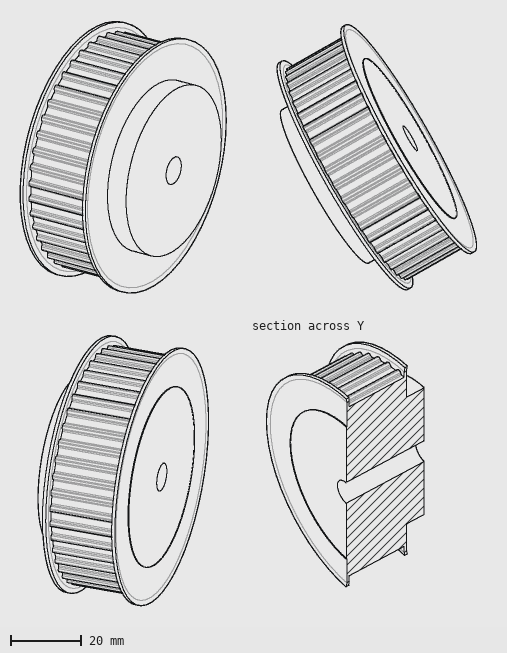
import cadquery as cq
import math

tooth_count = 44
tip_radius = 34.4
groove_depth = 1.1
groove_floor_width = 2.6
flank_angle = 25.0
tip_fillet = 0.7
root_fillet = 0.4

flange_span = 22.0
flange_radius = 37.0
flange_bend_radius = 35.5
flange_thickness = 1.0
flange_dish = 0.25

core_radius = 26.0
total_length = 28.0
hub_radius = 25.0
bore_radius = 4.0

root_radius = tip_radius - groove_depth
rim_start = flange_dish + flange_thickness
rim_end = flange_span - rim_start


def cylinder(radius, start, end):
    """Solid cylinder about the X axis between two X positions."""
    return cq.Workplane("YZ").workplane(offset=start).circle(radius).extrude(end - start)


def polar(radius, angle):
    """Point in the YZ plane, with the angle in radians measured from +Y."""
    return (radius * math.cos(angle), radius * math.sin(angle))


def axial_edges(body, radius):
    """Straight edges parallel to X that lie at the given distance from the axis."""
    return [
        edge
        for edge in body.edges("|X").vals()
        if math.isclose(math.hypot(edge.Center().y, edge.Center().z), radius, abs_tol=1e-3)
    ]


def make_toothed_rim():
    """Rounded teeth between the flanges, with one groove centred on +Y."""
    pitch_angle = 2 * math.pi / tooth_count
    floor_half_width = groove_floor_width / 2
    mouth_half_width = floor_half_width + groove_depth * math.tan(math.radians(flank_angle))
    floor_half_angle = math.asin(floor_half_width / root_radius)
    mouth_half_angle = math.asin(mouth_half_width / tip_radius)

    profile = cq.Workplane("YZ").workplane(offset=rim_start).moveTo(*polar(tip_radius, -mouth_half_angle))
    for index in range(tooth_count):
        groove = index * pitch_angle
        next_tooth = groove + pitch_angle / 2
        next_groove = groove + pitch_angle
        profile = (
            profile
            .lineTo(*polar(root_radius, groove - floor_half_angle))
            .threePointArc(polar(root_radius, groove), polar(root_radius, groove + floor_half_angle))
            .lineTo(*polar(tip_radius, groove + mouth_half_angle))
            .threePointArc(polar(tip_radius, next_tooth), polar(tip_radius, next_groove - mouth_half_angle))
        )
    rim = profile.close().extrude(rim_end - rim_start)
    rim = rim.newObject(axial_edges(rim, root_radius)).fillet(root_fillet)
    return rim.newObject(axial_edges(rim, tip_radius)).fillet(tip_fillet)


def make_left_flange():
    """Dished flange revolved about X, with its rim at X = 0 and its flat next to the teeth."""
    return (
        cq.Workplane("XY")
        .moveTo(flange_dish, 0)
        .lineTo(flange_dish, flange_bend_radius)
        .lineTo(0, flange_radius)
        .lineTo(flange_thickness, flange_radius)
        .lineTo(rim_start, flange_bend_radius)
        .lineTo(rim_start, 0)
        .close()
        .revolve(360, (0, 0, 0), (1, 0, 0))
    )


def make_right_flange():
    """Mirror image of the left flange at the hub end of the teeth."""
    return make_left_flange().mirror("YZ").translate((flange_span, 0, 0))


core = cylinder(core_radius, 0, rim_end)
hub = cylinder(hub_radius, rim_end, total_length)
bore = cylinder(bore_radius, 0, total_length)

body = make_toothed_rim().union(make_left_flange()).union(make_right_flange())
result = body.union(core).union(hub).cut(bore)